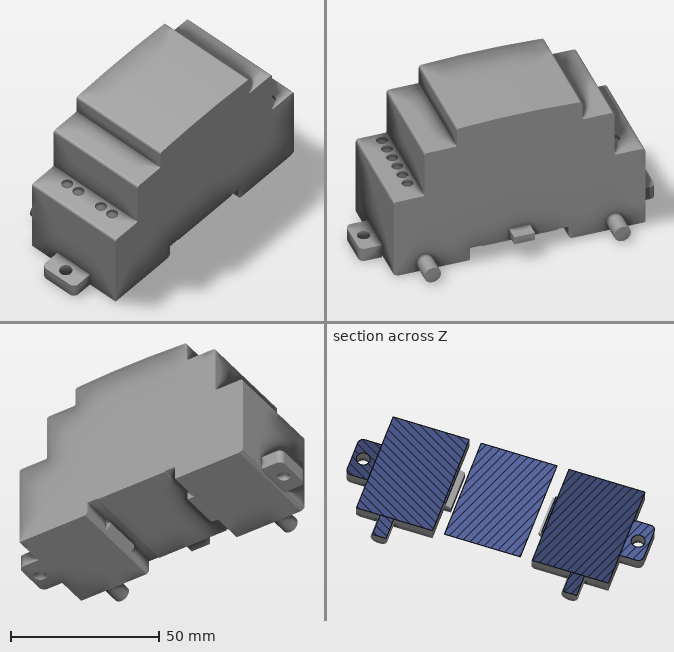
import cadquery as cq

WIDTH = 38.0

LOW_HALF, LOW_TOP = 45.0, 31.2
MID_HALF, MID_TOP = 34.0, 49.1
HIGH_HALF, SHOULDER_TOP = 22.5, 56.5
CROWN_TOP = 57.2
OUTER_RADIUS = 1.0
INNER_RADIUS = 0.5

PARTING_HEIGHT = 10.9
TONGUE_TOP_HALF = 14.8
TONGUE_BOTTOM_HALF = 13.6
TONGUE_BOTTOM = 4.8

TERMINAL_DIAMETER = 4.0
TERMINAL_DEPTH = 1.3
TERMINAL_PITCH = 5.1
TERMINAL_FIRST_X = WIDTH / 2 - 2 * TERMINAL_PITCH
TERMINAL_Y = 37.0
BACK_TERMINALS = (0, 1, 2, 3, 4, 5)
FRONT_TERMINALS = (0, 1, 3, 4)

SLOT_HALF = 17.7
SLOT_HEIGHT = 5.1
FOOT_CHAMFER = 0.8
END_CHAMFER_LENGTH = 1.5
END_CHAMFER_HEIGHT = 0.7

HOOK_NECK_HALF = 17.1
BACK_HOOK_TIP = 15.2
BACK_HOOK_LEDGE = 3.6
BACK_HOOK_TIP_TOP = 2.9
FRONT_HOOK_TIP = 16.1
FRONT_HOOK_LEDGE = 3.8

TAB_WIDTH = 14.7
TAB_X = (WIDTH - TAB_WIDTH) / 2
TAB_END = 53.0
TAB_HEIGHT = SLOT_HEIGHT
TAB_RADIUS = 2.0
TAB_HOLE_DIAMETER = 4.6
TAB_HOLE_Y = 49.1

PIN_LENGTH = 8.1
PIN_RADIUS = 3.0
PIN_Y = MID_HALF
PIN_Z = 3.5
CONNECTOR_LENGTH = 5.0
CONNECTOR_WIDTH = 7.4
CONNECTOR_BOTTOM = 6.6
CONNECTOR_TOP = 9.5

BACK, FRONT = 1, -1


def extrude_profile(points, start_x, width):
    """Extrude a closed (Y, Z) outline along +X."""
    return cq.Workplane("YZ").workplane(offset=start_x).polyline(points).close().extrude(width)


def round_corners(body, corners, radius):
    """Fillet the full-width edges that pass through the given (Y, Z) corners, on both ends."""
    for y, z in corners:
        for side in (BACK, FRONT):
            edge_middle = (WIDTH / 2, side * y, z)
            body = body.edges(cq.selectors.NearestToPointSelector(edge_middle)).fillet(radius)
    return body


def make_housing():
    """Stepped cover with a crowned top and a tapered tongue reaching down between the base blocks."""
    back_side = [
        (TONGUE_BOTTOM_HALF, TONGUE_BOTTOM),
        (TONGUE_TOP_HALF, PARTING_HEIGHT),
        (LOW_HALF, PARTING_HEIGHT),
        (LOW_HALF, LOW_TOP),
        (MID_HALF, LOW_TOP),
        (MID_HALF, MID_TOP),
        (HIGH_HALF, MID_TOP),
        (HIGH_HALF, SHOULDER_TOP),
    ]
    front_side = [(-y, z) for y, z in reversed(back_side)]
    housing = (
        cq.Workplane("YZ")
        .polyline(back_side)
        .threePointArc((0, CROWN_TOP), front_side[0])
        .polyline(front_side, includeCurrent=False)
        .close()
        .extrude(WIDTH)
    )
    outer_corners = [(LOW_HALF, LOW_TOP), (MID_HALF, MID_TOP), (HIGH_HALF, SHOULDER_TOP)]
    inner_corners = [(MID_HALF, LOW_TOP), (HIGH_HALF, MID_TOP)]
    housing = round_corners(housing, outer_corners, OUTER_RADIUS)
    housing = round_corners(housing, inner_corners, INNER_RADIUS)
    return cut_terminals(housing)


def cut_terminals(housing):
    """Sink the round terminal recesses into both ledges of the lowest tier."""
    for side, positions in ((BACK, BACK_TERMINALS), (FRONT, FRONT_TERMINALS)):
        centers = [(TERMINAL_FIRST_X + i * TERMINAL_PITCH, side * TERMINAL_Y) for i in positions]
        recesses = (
            cq.Workplane("XY", origin=(0, 0, LOW_TOP - TERMINAL_DEPTH))
            .pushPoints(centers)
            .circle(TERMINAL_DIAMETER / 2)
            .extrude(TERMINAL_DEPTH)
        )
        housing = housing.cut(recesses)
    return housing


def tongue_half_at(height):
    """Half length of the tapered tongue at the given height."""
    taper = (TONGUE_TOP_HALF - TONGUE_BOTTOM_HALF) / (PARTING_HEIGHT - TONGUE_BOTTOM)
    return TONGUE_BOTTOM_HALF + taper * (height - TONGUE_BOTTOM)


def make_back_base():
    """Base block on the +Y side, with its outer bottom edge bevelled."""
    return extrude_profile(
        [
            (TONGUE_TOP_HALF, PARTING_HEIGHT),
            (LOW_HALF, PARTING_HEIGHT),
            (LOW_HALF, END_CHAMFER_HEIGHT),
            (LOW_HALF - END_CHAMFER_LENGTH, 0),
            (SLOT_HALF, 0),
            (SLOT_HALF, SLOT_HEIGHT),
            (tongue_half_at(SLOT_HEIGHT), SLOT_HEIGHT),
        ],
        0,
        WIDTH,
    )


def make_front_base():
    """Base block on the -Y side, with its bottom edge at the rail slot bevelled."""
    return extrude_profile(
        [
            (-TONGUE_TOP_HALF, PARTING_HEIGHT),
            (-LOW_HALF, PARTING_HEIGHT),
            (-LOW_HALF, 0),
            (-SLOT_HALF - FOOT_CHAMFER, 0),
            (-SLOT_HALF, FOOT_CHAMFER),
            (-SLOT_HALF, SLOT_HEIGHT),
            (-tongue_half_at(SLOT_HEIGHT), SLOT_HEIGHT),
        ],
        0,
        WIDTH,
    )


def make_back_hook():
    """Rail hook on the +Y slot wall, with a sloping ledge."""
    return extrude_profile(
        [
            (SLOT_HALF, 0),
            (SLOT_HALF, SLOT_HEIGHT),
            (HOOK_NECK_HALF, SLOT_HEIGHT),
            (HOOK_NECK_HALF, BACK_HOOK_LEDGE),
            (BACK_HOOK_TIP, BACK_HOOK_TIP_TOP),
            (BACK_HOOK_TIP, 0),
        ],
        TAB_X,
        TAB_WIDTH,
    )


def make_front_hook():
    """Rail hook on the -Y slot wall; its lead-in slope continues the bevel of the base block."""
    tip_bottom = FOOT_CHAMFER + SLOT_HALF - FRONT_HOOK_TIP
    return extrude_profile(
        [
            (-SLOT_HALF, FOOT_CHAMFER),
            (-SLOT_HALF, SLOT_HEIGHT),
            (-HOOK_NECK_HALF, SLOT_HEIGHT),
            (-HOOK_NECK_HALF, FRONT_HOOK_LEDGE),
            (-FRONT_HOOK_TIP, FRONT_HOOK_LEDGE),
            (-FRONT_HOOK_TIP, tip_bottom),
        ],
        TAB_X,
        TAB_WIDTH,
    )


def make_tab(side):
    """Mounting tab with rounded outer corners and a screw hole."""
    center_x = WIDTH / 2
    center_y = side * (LOW_HALF + TAB_END) / 2
    tab = (
        cq.Workplane("XY", origin=(center_x, center_y, 0))
        .rect(TAB_WIDTH, TAB_END - LOW_HALF)
        .extrude(TAB_HEIGHT)
    )
    outer_face = ">Y" if side == BACK else "<Y"
    tab = tab.faces(outer_face).edges("|Z").fillet(TAB_RADIUS)
    hole = (
        cq.Workplane("XY", origin=(center_x, side * TAB_HOLE_Y, 0))
        .circle(TAB_HOLE_DIAMETER / 2)
        .extrude(TAB_HEIGHT)
    )
    return tab.cut(hole)


def make_pin(side):
    """Round pin standing on the base block's X = 0 face."""
    return cq.Workplane("YZ").center(side * PIN_Y, PIN_Z).circle(PIN_RADIUS).extrude(-PIN_LENGTH)


def make_connector():
    """Rectangular connector standing on the tongue's X = 0 face."""
    center_z = (CONNECTOR_BOTTOM + CONNECTOR_TOP) / 2
    height = CONNECTOR_TOP - CONNECTOR_BOTTOM
    return cq.Workplane("YZ").center(0, center_z).rect(CONNECTOR_WIDTH, height).extrude(-CONNECTOR_LENGTH)


housing = make_housing()
back_base = make_back_base()
front_base = make_front_base()
back_hook = make_back_hook()
front_hook = make_front_hook()
tabs = [make_tab(side) for side in (BACK, FRONT)]
pins = [make_pin(side) for side in (BACK, FRONT)]
connector = make_connector()

result = cq.Compound.makeCompound(
    [
        housing.val(),
        back_base.val(),
        front_base.val(),
        back_hook.val(),
        front_hook.val(),
        *[tab.val() for tab in tabs],
        *[pin.val() for pin in pins],
        connector.val(),
    ]
)